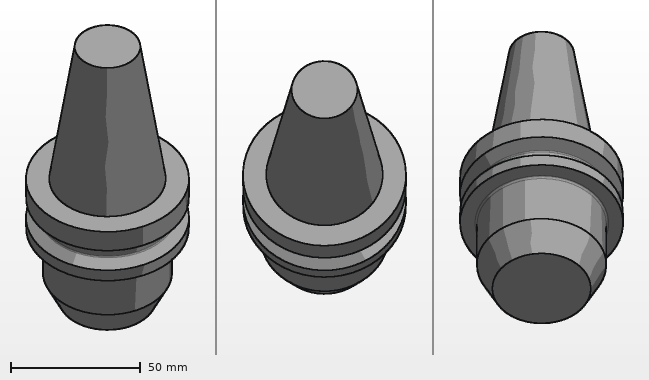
import cadquery as cq
import math


gauge_height = 63.0
flange_setback = 2.0
flange_reach = 27.0
groove_setback = 16.65
taper_length = 65.4
nose_cone_height = 13.0

gauge_diameter = 44.45
flange_diameter = 63.0
groove_diameter = 53.0
neck_diameter = 50.0
nose_diameter = 38.0

taper_ratio = 7 / 24
groove_mouth = 10.0
groove_wall_angle = 28.0
neck_fillet = 0.8
groove_fillet = 0.6

flange_top = gauge_height - flange_setback
flange_bottom = gauge_height - flange_reach
groove_middle = gauge_height - groove_setback
taper_top = gauge_height + taper_length

flange_radius = flange_diameter / 2
groove_radius = groove_diameter / 2
neck_radius = neck_diameter / 2
nose_radius = nose_diameter / 2
taper_base_radius = (gauge_diameter + flange_setback * taper_ratio) / 2
taper_top_radius = (gauge_diameter - taper_length * taper_ratio) / 2

groove_depth = flange_radius - groove_radius
mouth_half = groove_mouth / 2
floor_half = mouth_half - groove_depth * math.tan(math.radians(groove_wall_angle))


def make_body():
    """Revolve the sharp-cornered half profile, from the nose face up to the small taper end."""
    profile = (
        cq.Workplane("XZ")
        .lineTo(nose_radius, 0)
        .lineTo(neck_radius, nose_cone_height)
        .lineTo(neck_radius, flange_bottom)
        .lineTo(flange_radius, flange_bottom)
        .lineTo(flange_radius, groove_middle - mouth_half)
        .lineTo(groove_radius, groove_middle - floor_half)
        .lineTo(groove_radius, groove_middle + floor_half)
        .lineTo(flange_radius, groove_middle + mouth_half)
        .lineTo(flange_radius, flange_top)
        .lineTo(taper_base_radius, flange_top)
        .lineTo(taper_top_radius, taper_top)
        .lineTo(0, taper_top)
        .close()
    )
    return profile.revolve(360, (0, 0, 0), (0, 1, 0))


def fillet_circle(body, radius, height, fillet_radius):
    """Fillet the circular corner of the given radius at the given height."""
    tolerance = 0.01
    corner = cq.selectors.BoxSelector(
        (-radius - tolerance, -radius - tolerance, height - tolerance),
        (radius + tolerance, radius + tolerance, height + tolerance),
        boundingbox=True,
    )
    return body.edges("%CIRCLE").edges(corner).fillet(fillet_radius)


holder = make_body()
holder = fillet_circle(holder, neck_radius, flange_bottom, neck_fillet)
for side in (-1, 1):
    holder = fillet_circle(holder, groove_radius, groove_middle + side * floor_half, groove_fillet)

result = holder